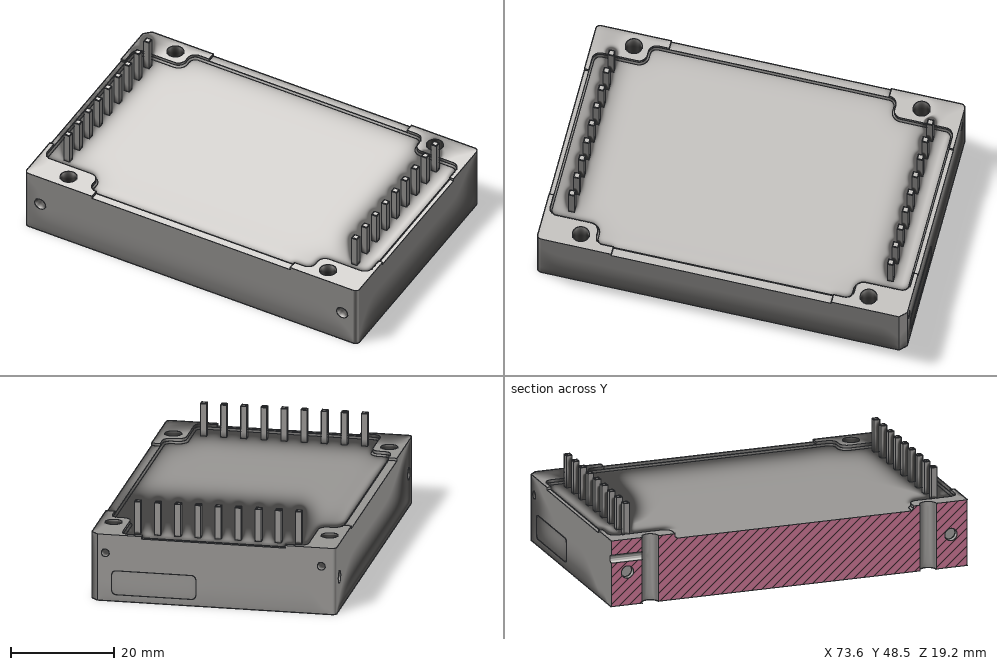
import cadquery as cq

length = 73.6
width = 48.5
total_height = 19.15
body_height = 13.5
key_chamfer = 1.3
corner_radius = 0.9

rim_drop = 0.5
long_drop_length = 43.9
short_drop_length = 28.4

recess_half_length = 35.9
recess_half_width = 22.5
recess_step_y = 18.4
recess_step_x = 25.7
key_step_x = 23.6
recess_corner_radius = 1.6
straight_depth = 0.6
slope_size = 0.4
lid_z = body_height - straight_depth - slope_size
slope_angle = 45

pin_size = 1.2
pin_tip_chamfer = 0.1
pin_pitch = 4.0
pins_per_row = 9
pin_row_spacing = 63.6

screw_hole_diameter = 3.3
screw_hole_x = 28.7
screw_hole_y = 21.35
front_hole_diameter = 2.4
front_hole_x = 33.4
front_hole_depth = 4.0
end_hole_diameter = 1.55
end_hole_z = 9.7

label_length = 16.6
label_height = 4.85
label_y = 11.8
label_z = 3.75
label_corner_radius = 0.9
label_depth = 0.1


def make_housing():
    block = cq.Workplane("XY").box(length, width, body_height, centered=(True, True, False))
    block = block.edges("|Z and (>X or <Y)").fillet(corner_radius)
    return block.edges("|Z and <X and >Y").chamfer(key_chamfer)


def make_rim_drops():
    """Two crossing bars that lower the middle of all four rim sides."""
    top = cq.Workplane("XY").workplane(offset=body_height - rim_drop)
    across = top.rect(long_drop_length, width).extrude(rim_drop)
    along = top.rect(length, short_drop_length).extrude(rim_drop)
    return across.union(along)


def make_lid_recess():
    outline = [
        (-recess_half_length, -recess_step_y),
        (-key_step_x, -recess_step_y),
        (-key_step_x, -recess_half_width),
        (recess_step_x, -recess_half_width),
        (recess_step_x, -recess_step_y),
        (recess_half_length, -recess_step_y),
        (recess_half_length, recess_step_y),
        (recess_step_x, recess_step_y),
        (recess_step_x, recess_half_width),
        (-recess_step_x, recess_half_width),
        (-recess_step_x, recess_step_y),
        (-recess_half_length, recess_step_y),
    ]
    straight_part = (
        cq.Workplane("XY")
        .workplane(offset=body_height - straight_depth)
        .polyline(outline)
        .close()
        .extrude(straight_depth)
        .edges("|Z")
        .fillet(recess_corner_radius)
    )
    sloped_part = straight_part.faces("<Z").wires().toPending().extrude(-slope_size, taper=slope_angle)
    return straight_part.union(sloped_part)


def make_pins():
    return (
        cq.Workplane("XY")
        .workplane(offset=lid_z)
        .rarray(pin_row_spacing, pin_pitch, 2, pins_per_row)
        .rect(pin_size, pin_size)
        .extrude(total_height - lid_z)
        .faces(">Z")
        .chamfer(pin_tip_chamfer)
    )


def make_screw_holes():
    return (
        cq.Workplane("XY")
        .rarray(2 * screw_hole_x, 2 * screw_hole_y, 2, 2)
        .circle(screw_hole_diameter / 2)
        .extrude(body_height)
    )


def make_front_holes():
    return (
        cq.Workplane("XZ", origin=(0, -width / 2, body_height / 2))
        .pushPoints([(-front_hole_x, 0), (front_hole_x, 0)])
        .circle(front_hole_diameter / 2)
        .extrude(-front_hole_depth)
    )


def make_end_holes():
    """Small holes from the -X end into the two nearest screw holes."""
    return (
        cq.Workplane("YZ", origin=(-length / 2, 0, end_hole_z))
        .pushPoints([(-screw_hole_y, 0), (screw_hole_y, 0)])
        .circle(end_hole_diameter / 2)
        .extrude(length / 2 - screw_hole_x)
    )


def make_label_panel():
    return (
        cq.Workplane("YZ", origin=(-length / 2, label_y, label_z))
        .rect(label_length, label_height)
        .extrude(label_depth)
        .edges("|X")
        .fillet(label_corner_radius)
    )


result = (
    make_housing()
    .cut(make_rim_drops())
    .cut(make_lid_recess())
    .cut(make_screw_holes())
    .cut(make_front_holes())
    .cut(make_end_holes())
    .cut(make_label_panel())
    .union(make_pins())
)